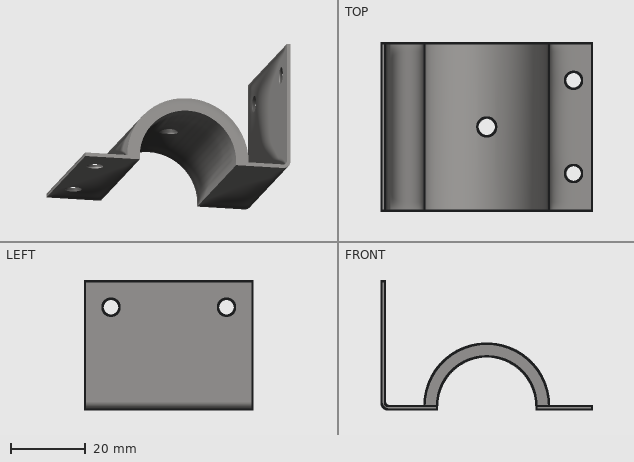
import cadquery as cq

length = 45.0
sheet = 1.0
bracket_height = 34.5
foot_width = 15.0

saddle_inner_radius = 13.3
saddle_wall = 3.45
saddle_outer_radius = saddle_inner_radius + saddle_wall
saddle_hole_diameter = 4.98

bend_inner_radius = 1.0
bend_outer_radius = bend_inner_radius + sheet

screw_diameter = 4.5
bracket_hole_pitch = 31.0
bracket_hole_from_top = 7.0
plate_hole_pitch = 25.0
plate_hole_from_edge = 5.0

outer_x = saddle_inner_radius + foot_width


def hole_cutter(origin, direction, diameter, depth):
    """Cylinder that starts at origin and runs along direction."""
    cylinder = cq.Solid.makeCylinder(diameter / 2, depth, cq.Vector(*origin), cq.Vector(*direction))
    return cq.Workplane(cylinder)


def make_angle_bracket():
    """L-shaped sheet on the -X side with a rounded bend and two screw holes in its upright leg."""
    bracket = (
        cq.Workplane("XZ")
        .moveTo(-outer_x, 0)
        .lineTo(-saddle_inner_radius, 0)
        .lineTo(-saddle_inner_radius, sheet)
        .lineTo(-outer_x + sheet, sheet)
        .lineTo(-outer_x + sheet, bracket_height)
        .lineTo(-outer_x, bracket_height)
        .close()
        .extrude(length / 2, both=True)
    )
    outer_corner = cq.selectors.NearestToPointSelector((-outer_x, 0, 0))
    inner_corner = cq.selectors.NearestToPointSelector((-outer_x + sheet, 0, sheet))
    bracket = bracket.edges("|Y").edges(outer_corner).fillet(bend_outer_radius)
    bracket = bracket.edges("|Y").edges(inner_corner).fillet(bend_inner_radius)

    hole_z = bracket_height - bracket_hole_from_top
    for side in (-1, 1):
        origin = (-outer_x, side * bracket_hole_pitch / 2, hole_z)
        bracket = bracket.cut(hole_cutter(origin, (1, 0, 0), screw_diameter, sheet))
    return bracket


def make_saddle():
    """Half tube standing on the sheets, with one hole through its crown."""
    saddle = (
        cq.Workplane("XZ", origin=(0, 0, sheet))
        .moveTo(-saddle_outer_radius, 0)
        .threePointArc((0, saddle_outer_radius), (saddle_outer_radius, 0))
        .lineTo(saddle_inner_radius, 0)
        .threePointArc((0, saddle_inner_radius), (-saddle_inner_radius, 0))
        .close()
        .extrude(length / 2, both=True)
    )
    crown_hole = hole_cutter((0, 0, sheet), (0, 0, 1), saddle_hole_diameter, saddle_outer_radius)
    return saddle.cut(crown_hole)


def make_foot_plate():
    """Flat plate on the +X side with two screw holes."""
    plate = cq.Workplane("XY").box(foot_width, length, sheet, centered=(False, True, False))
    plate = plate.translate((saddle_inner_radius, 0, 0))
    for side in (-1, 1):
        origin = (outer_x - plate_hole_from_edge, side * plate_hole_pitch / 2, 0)
        plate = plate.cut(hole_cutter(origin, (0, 0, 1), screw_diameter, sheet))
    return plate


angle_bracket = make_angle_bracket()
saddle = make_saddle()
foot_plate = make_foot_plate()

result = cq.Compound.makeCompound([angle_bracket.val(), saddle.val(), foot_plate.val()])